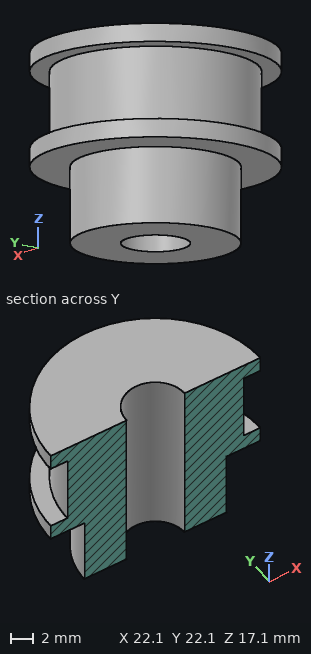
import cadquery as cq

flange_diameter = 22.1
total_height = 17.15

hub_diameter = 15.0
hub_height = 6.87
flange_thickness = 1.65
drum_diameter = 18.6
drum_height = total_height - hub_height - 2 * flange_thickness

bore_diameter = 6.1


def add_disc(body, diameter, thickness):
    """Stack a concentric disc on the top face of the body."""
    return body.faces(">Z").workplane().circle(diameter / 2).extrude(thickness)


spool = cq.Workplane("XY").circle(hub_diameter / 2).extrude(hub_height)
spool = add_disc(spool, flange_diameter, flange_thickness)
spool = add_disc(spool, drum_diameter, drum_height)
spool = add_disc(spool, flange_diameter, flange_thickness)

result = spool.faces(">Z").workplane().circle(bore_diameter / 2).cutThruAll()